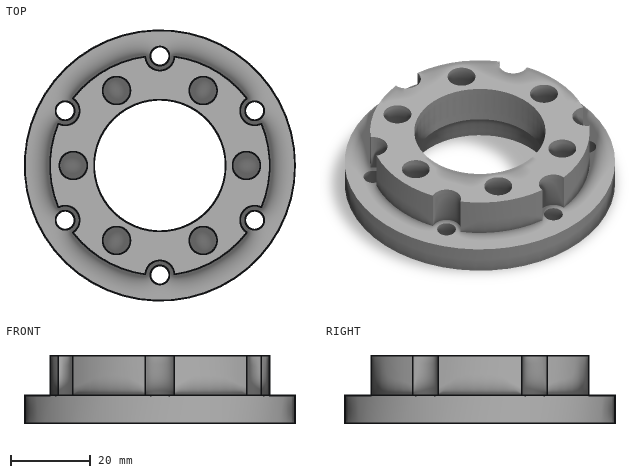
import cadquery as cq

flange_diameter = 68.0
flange_thickness = 7.0

boss_diameter = 55.2
boss_height = 10.0
total_height = flange_thickness + boss_height

bore_diameter = 33.0
recess_diameter = 37.1
recess_depth = flange_thickness

bolt_count = 6
bolt_circle_diameter = 55.0
bolt_hole_diameter = 4.7
bolt_start_angle = 90.0
head_clearance_diameter = 7.3

pocket_count = 6
pocket_circle_diameter = 43.5
pocket_diameter = 7.0
pocket_depth = 8.0
pocket_start_angle = 0.0


def cylinder(diameter, height, base_z):
    return cq.Workplane("XY").workplane(offset=base_z).circle(diameter / 2).extrude(height)


def cylinder_ring(count, ring_diameter, start_angle, diameter, height, base_z):
    """Equal upright cylinders evenly spaced on a circle about the Z axis."""
    return (
        cq.Workplane("XY")
        .workplane(offset=base_z)
        .polarArray(ring_diameter / 2, start_angle, 360, count)
        .circle(diameter / 2)
        .extrude(height)
    )


def make_body():
    flange = cylinder(flange_diameter, flange_thickness, 0)
    boss = cylinder(boss_diameter, boss_height, flange_thickness)
    return flange.union(boss)


def cut_bore(body):
    bore = cylinder(bore_diameter, total_height, 0)
    recess = cylinder(recess_diameter, recess_depth, 0)
    return body.cut(bore).cut(recess)


def cut_bolt_holes(body):
    ring = (bolt_count, bolt_circle_diameter, bolt_start_angle)
    holes = cylinder_ring(*ring, bolt_hole_diameter, flange_thickness, 0)
    clearances = cylinder_ring(*ring, head_clearance_diameter, boss_height, flange_thickness)
    return body.cut(holes).cut(clearances)


def cut_pockets(body):
    pockets = cylinder_ring(
        pocket_count,
        pocket_circle_diameter,
        pocket_start_angle,
        pocket_diameter,
        pocket_depth,
        total_height - pocket_depth,
    )
    return body.cut(pockets)


result = cut_pockets(cut_bolt_holes(cut_bore(make_body())))